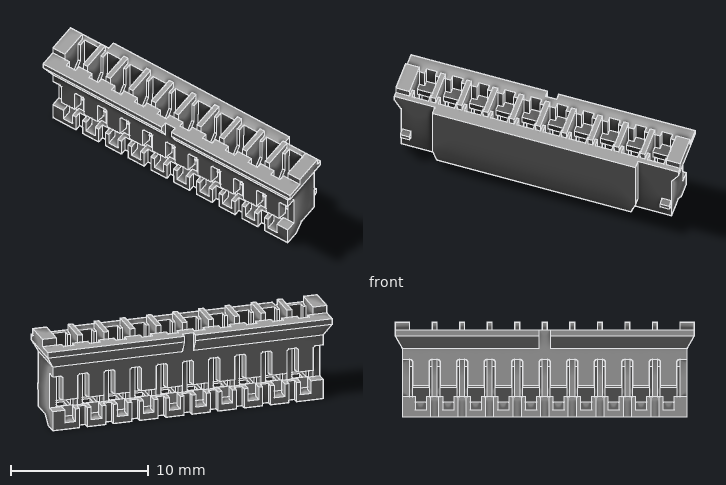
import cadquery as cq

contact_count = 10
pitch = 2.0
body_length = 20.64
body_depth = 3.43
flange_length = 21.7
front_overhang = 0.48
top_height = 6.9
rim_height = 6.34
flange_edge_bottom = 5.9
flange_taper_bottom = 4.97
foot_back = 1.1
chamfer_back = 1.8
rear_bottom = 0.65

plate_length = 15.5
plate_back = 4.01
plate_taper_top = 1.65
plate_taper = 0.33
bump_length = 0.7
bump_offset = 0.59
bump_height = 0.37
bump_bottom = 1.71
bump_top = 2.54
bump_chamfer = 0.24

cavity_width = 1.63
cavity_front = 0.78
cavity_back = 3.05
shelf_height = 1.5
cavity_floor = 0.52
ramp_foot = 1.25
pocket_front = 1.82
pocket_width = 1.24
pocket_floor = 1.1
pocket_back = 3.0
shoulder_back = 2.5
shoulder_bottom = 3.67
shoulder_top = 4.5
hole_width = 0.72
hole_front = 1.89
hole_back = 2.6
groove_width = 0.8
groove_front = 0.37
ledge_back = 1.25
ledge_top = 4.77

tongue_front_width = 1.15
tongue_back_width = 1.24
tongue_bottom = 2.3
tongue_inner_bottom = 2.17
slot_top = 4.19
slot_corner = 0.13
recess_width = 0.59
recess_depth = 0.48
gap_width = 0.85

slot_front_width = pitch - tongue_front_width
slot_back_width = pitch - tongue_back_width
contact_places = [(i - (contact_count - 1) / 2) * pitch for i in range(contact_count)]
divider_places = [x + pitch / 2 for x in contact_places[:-1]]


def block(x_min, x_max, y_min, y_max, z_min, z_max):
    size = (x_max - x_min, y_max - y_min, z_max - z_min)
    return cq.Workplane("XY").box(*size, centered=False).translate((x_min, y_min, z_min))


def centred_block(x, width, y_min, y_max, z_min, z_max):
    return block(x - width / 2, x + width / 2, y_min, y_max, z_min, z_max)


def side_prism(x, width, points):
    """Extrude a (y, z) outline along X, centred on x."""
    return cq.Workplane("YZ").polyline(points).close().extrude(width / 2, both=True).translate((x, 0, 0))


def front_prism(y_min, y_max, points):
    """Extrude an (x, z) outline from y_min to y_max."""
    outline = cq.Workplane("XZ", origin=(0, y_min, 0)).polyline(points).close()
    return outline.extrude(y_min - y_max)


def make_body():
    """Solid housing with a tapered flange around its rim and a raised bar along the top."""
    body = side_prism(0, body_length, [
        (0, 0), (foot_back, 0), (chamfer_back, rear_bottom),
        (body_depth, rear_bottom), (body_depth, rim_height), (0, rim_height),
    ])
    end_taper = front_prism(-front_overhang, body_depth, [
        (-body_length / 2, flange_taper_bottom), (body_length / 2, flange_taper_bottom),
        (flange_length / 2, flange_edge_bottom), (flange_length / 2, rim_height),
        (-flange_length / 2, rim_height), (-flange_length / 2, flange_edge_bottom),
    ])
    front_taper = side_prism(0, flange_length, [
        (0, flange_taper_bottom), (body_depth, flange_taper_bottom), (body_depth, rim_height),
        (-front_overhang, rim_height), (-front_overhang, flange_edge_bottom),
    ])
    flange = end_taper.intersect(front_taper)
    gap = centred_block(0, gap_width, -front_overhang, 0, flange_taper_bottom, rim_height)
    top_bar = centred_block(0, flange_length, cavity_front, cavity_back, rim_height, top_height)
    return body.union(flange).cut(gap).union(top_bar)


def make_plate():
    """Back plate whose lower ends taper inwards."""
    half = plate_length / 2
    return front_prism(body_depth, plate_back, [
        (-half, rim_height), (half, rim_height), (half, plate_taper_top),
        (half - plate_taper, rear_bottom), (plate_taper - half, rear_bottom), (-half, plate_taper_top),
    ])


def make_bump(side):
    """Latch bump near one end of the back face."""
    x = side * (flange_length / 2 - bump_offset - bump_length / 2)
    tip = body_depth + bump_height
    return side_prism(x, bump_length, [
        (body_depth, bump_bottom), (tip, bump_bottom + bump_chamfer),
        (tip, bump_top - bump_chamfer), (body_depth, bump_top),
    ])


def make_cavity(x):
    """Wire chamber with a front ledge, the contact pocket behind it and the hole in the pocket floor."""
    chamber = side_prism(x, cavity_width, [
        (cavity_front, cavity_floor), (ramp_foot, cavity_floor), (pocket_front, pocket_floor),
        (pocket_front, shoulder_bottom), (shoulder_back, shoulder_top), (shoulder_back, rim_height),
        (cavity_back, rim_height), (cavity_back, top_height), (cavity_front, top_height),
        (cavity_front, ledge_top), (ledge_back, ledge_top), (ledge_back, slot_top), (cavity_front, slot_top),
    ])
    pocket = side_prism(x, pocket_width, [
        (pocket_front, pocket_floor), (pocket_back, pocket_floor),
        (cavity_back, rim_height), (pocket_front, rim_height),
    ])
    hole = centred_block(x, hole_width, hole_front, hole_back, 0, pocket_floor)
    groove = centred_block(x, groove_width, groove_front, cavity_front, ledge_top, rim_height)
    return chamber.union(pocket).union(hole).union(groove)


def make_tongue_gap(x):
    """Space under the free end of a tongue and the notch in the shelf below it."""
    under_tongue = side_prism(x, pitch, [
        (0, shelf_height), (cavity_front, shelf_height),
        (cavity_front, tongue_inner_bottom), (0, tongue_bottom),
    ])
    notch = centred_block(x, groove_width, 0, cavity_front, cavity_floor, shelf_height)
    return under_tongue.union(notch)


def slot_outline(width):
    half = width / 2
    return [
        (-half, shelf_height), (half, shelf_height), (half, slot_top - slot_corner),
        (half - slot_corner, slot_top), (slot_corner - half, slot_top), (-half, slot_top - slot_corner),
    ]


def make_slot(x):
    """Slot between two tongues, narrowing towards the cavities."""
    front = cq.Workplane("XZ").polyline(slot_outline(slot_front_width)).close()
    slot = front.workplane(offset=-cavity_front).polyline(slot_outline(slot_back_width)).close()
    return slot.loft(ruled=True).translate((x, 0, 0))


def make_end_slot(side):
    """Outermost slot, open to the end face of the body."""
    x = side * contact_count * pitch / 2
    outer_x = x + side * slot_front_width / 2
    opening = centred_block(outer_x, slot_front_width, 0, cavity_front, shelf_height, slot_top)
    return make_slot(x).union(opening)


result = make_body().union(make_plate())
for side in (-1, 1):
    result = result.union(make_bump(side)).cut(make_end_slot(side))
for x in contact_places:
    result = result.cut(make_cavity(x)).cut(make_tongue_gap(x))
for x in divider_places:
    recess = centred_block(x, recess_width, 0, recess_depth, 0, shelf_height)
    result = result.cut(make_slot(x)).cut(recess)